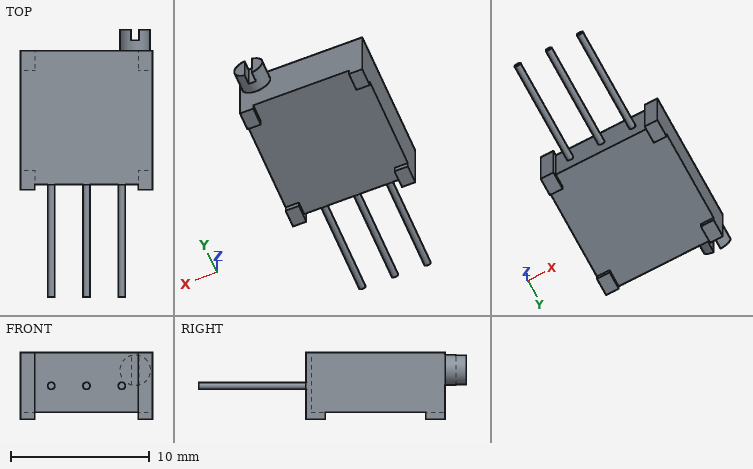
import cadquery as cq


housing_width = 9.53
housing_length = 10.03
housing_height = 4.83
foot_width = 1.04
foot_length = 1.41
foot_height = 0.51
front_recess_depth = 0.38

screw_diameter = 2.19
screw_length = 1.52
screw_edge_distance = 1.27
screw_slot_width = 0.56
screw_slot_depth = screw_length / 2

pin_count = 3
pin_diameter = 0.51
pin_pitch = 2.54
pin_reach = 7.72

housing_bottom = -housing_height / 2
housing_front = -housing_length
recess_face = housing_front + front_recess_depth
width_between_feet = housing_width - 2 * foot_width
length_between_feet = housing_length - 2 * foot_length
screw_x = housing_width / 2 - screw_edge_distance
screw_z = housing_height / 2 - screw_edge_distance


def make_housing():
    """Block on four corner feet, with a shallow recess across its front face."""
    body = cq.Workplane("XY").box(housing_width, housing_length, housing_height)
    body = body.translate((0, -housing_length / 2, 0))

    channel_center = (0, -housing_length / 2, housing_bottom + foot_height / 2)
    lengthwise_channel = cq.Workplane("XY").box(width_between_feet, housing_length, foot_height)
    crosswise_channel = cq.Workplane("XY").box(housing_width, length_between_feet, foot_height)
    body = body.cut(lengthwise_channel.translate(channel_center))
    body = body.cut(crosswise_channel.translate(channel_center))

    recess = cq.Workplane("XY").box(width_between_feet, front_recess_depth, housing_height)
    return body.cut(recess.translate((0, housing_front + front_recess_depth / 2, 0)))


def make_screw():
    """Cylindrical screw head standing on the rear face, with a vertical driver slot."""
    head = (
        cq.Workplane("XZ")
        .center(screw_x, screw_z)
        .circle(screw_diameter / 2)
        .extrude(-screw_length)
    )
    slot = cq.Workplane("XY").box(screw_slot_width, screw_slot_depth, screw_diameter)
    slot_y = screw_length - screw_slot_depth / 2
    return head.cut(slot.translate((screw_x, slot_y, screw_z)))


def make_pin(pin_x):
    """Round pin at mid-height, running forward from the recessed front face."""
    return (
        cq.Workplane("XZ", origin=(pin_x, recess_face, 0))
        .circle(pin_diameter / 2)
        .extrude(front_recess_depth + pin_reach)
    )


housing = make_housing()
screw = make_screw()
pins = []
for index in range(pin_count):
    pin_x = (index - (pin_count - 1) / 2) * pin_pitch
    pins.append(make_pin(pin_x))

result = cq.Compound.makeCompound([housing.val(), screw.val(), *[pin.val() for pin in pins]])